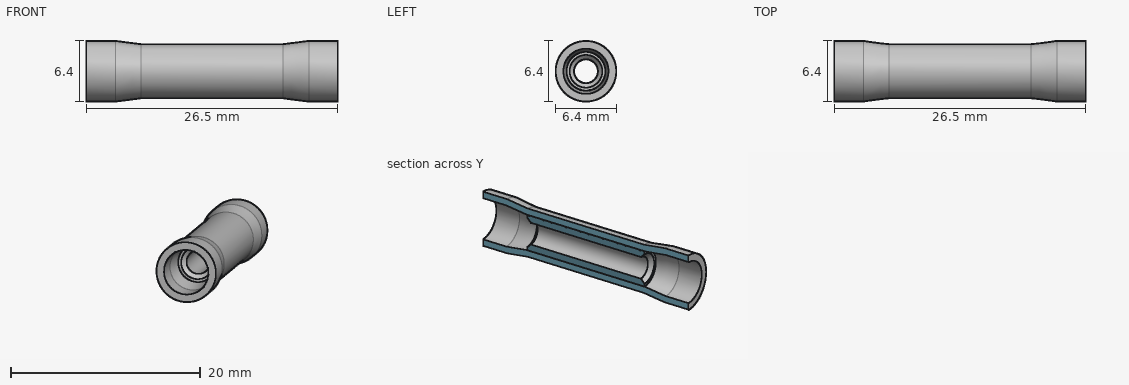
import cadquery as cq

LENGTH = 26.5
END_RADIUS = 3.2
MIDDLE_RADIUS = 2.85
END_BORE_RADIUS = 2.38
END_LENGTH = 3.07
END_BORE_LENGTH = 2.97
TAPER_LENGTH = 2.7

BARREL_RADIUS = END_BORE_RADIUS - (END_RADIUS - MIDDLE_RADIUS)
BARREL_LENGTH = LENGTH - 2 * (END_BORE_LENGTH + TAPER_LENGTH)
BARREL_BORE_RADIUS = 1.25
MOUTH_RADIUS = 1.72
MOUTH_DEPTH = MOUTH_RADIUS - BARREL_BORE_RADIUS

X_AXIS = ((0, 0, 0), (1, 0, 0))


def waisted_solid(end_radius, middle_radius, end_length):
    """Solid of revolution with wide straight ends, tapers and a narrow middle."""
    end = LENGTH / 2
    taper_start = end - end_length
    taper_end = taper_start - TAPER_LENGTH
    return (
        cq.Workplane("XZ")
        .moveTo(-end, 0)
        .lineTo(-end, end_radius)
        .lineTo(-taper_start, end_radius)
        .lineTo(-taper_end, middle_radius)
        .lineTo(taper_end, middle_radius)
        .lineTo(taper_start, end_radius)
        .lineTo(end, end_radius)
        .lineTo(end, 0)
        .close()
        .revolve(360, *X_AXIS)
    )


def make_sleeve():
    """Insulating sleeve whose inside follows its outside."""
    outside = waisted_solid(END_RADIUS, MIDDLE_RADIUS, END_LENGTH)
    inside = waisted_solid(END_BORE_RADIUS, BARREL_RADIUS, END_BORE_LENGTH)
    return outside.cut(inside)


def make_barrel():
    """Crimp barrel with a through bore and a funnel at each mouth."""
    end = BARREL_LENGTH / 2
    bore_end = end - MOUTH_DEPTH
    return (
        cq.Workplane("XY")
        .moveTo(-end, MOUTH_RADIUS)
        .lineTo(-end, BARREL_RADIUS)
        .lineTo(end, BARREL_RADIUS)
        .lineTo(end, MOUTH_RADIUS)
        .lineTo(bore_end, BARREL_BORE_RADIUS)
        .lineTo(-bore_end, BARREL_BORE_RADIUS)
        .close()
        .revolve(360, *X_AXIS)
    )


sleeve = make_sleeve()
barrel = make_barrel()

result = cq.Compound.makeCompound([sleeve.val(), barrel.val()])